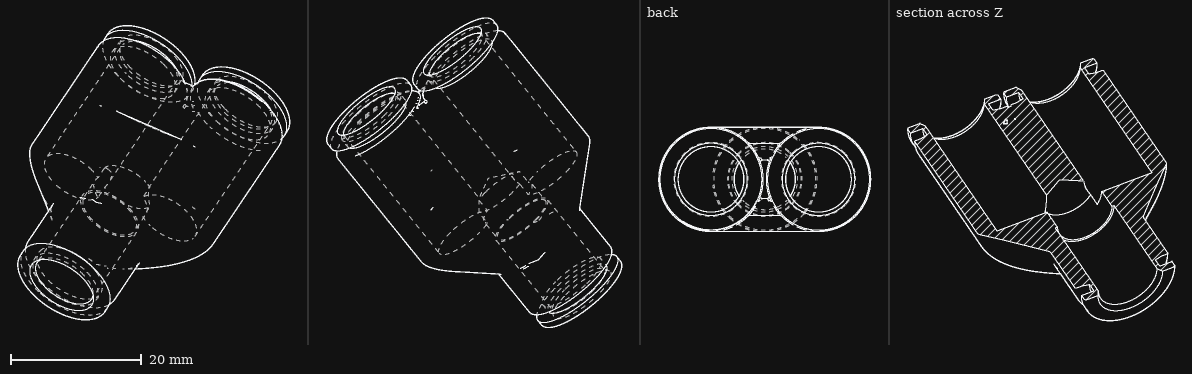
import cadquery as cq
import math

TOTAL_LENGTH = 44.1
BODY_DIAMETER = 16.0
BODY_RADIUS = BODY_DIAMETER / 2
PORT_OFFSET = 8.25
EDGE_ROUND = 0.25
BLEND_RADIUS = 0.5

FLANGE_RADIUS = 7.8
FLANGE_THICKNESS = 1.25
FLANGE_ROUND = 0.35
NECK_RADIUS = 5.7
COLLAR_LENGTH = 2.85
SEAT_RADIUS = 6.85
SEAT_HEIGHT = 0.25
COLLAR_OVERLAP = 0.9

BORE_RADIUS = 5.03
MOUTH_RADIUS = 5.55
MOUTH_DEPTH = 0.9
STOP_RADIUS = 4.67
STOP_Y = 15.45
STOP_HOLE_END_Y = 21.15
DRILL_TIP_ANGLE = 118.0
TWIN_BORE_FLOOR_Y = 18.95

TAPER_ANGLE = 45.0
TAPER_START_Y = 11.38
TAPER_BLEND_TANGENT = BLEND_RADIUS * math.tan(math.radians(TAPER_ANGLE / 2))
SINGLE_TUBE_END_Y = TAPER_START_Y - TAPER_BLEND_TANGENT
TAPER_END_RADIUS = 17.65

WEB_HALF_HEIGHT = 5.5
STEP_TOP_Y = 27.9
STEP_ANGLE = 60.0
WEB_SLOPE_START_Y = 38.4
WEB_SLOPE_ANGLE = 45.0

BODY_END_Y = TOTAL_LENGTH - COLLAR_LENGTH
WEB_END_Y = BODY_END_Y - EDGE_ROUND
SIDES = (-1, 1)


def cylinder(x, radius, y_start, y_end):
    """Cylinder parallel to Y."""
    plane = cq.Workplane("XZ", origin=(x, y_start, 0))
    return plane.circle(radius).extrude(y_start - y_end)


def revolve_about_y(profile):
    """Solid of revolution from (radius, y) corners."""
    return cq.Workplane("XY").polyline(profile).close().revolve(360, (0, 0, 0), (0, 1, 0))


def make_collar():
    """Collar and its conical seat, outer face at Y = 0, axis on the Y axis."""
    buried_end_y = COLLAR_LENGTH + COLLAR_OVERLAP
    collar = revolve_about_y([
        (0, 0),
        (FLANGE_RADIUS, 0),
        (FLANGE_RADIUS, FLANGE_THICKNESS),
        (NECK_RADIUS, FLANGE_THICKNESS),
        (NECK_RADIUS, COLLAR_LENGTH - SEAT_HEIGHT),
        (SEAT_RADIUS, COLLAR_LENGTH),
        (SEAT_RADIUS, buried_end_y),
        (0, buried_end_y),
    ])
    return collar.faces("<Y").edges().fillet(FLANGE_ROUND)


def make_bore_mouth():
    """Conical lead-in at Y = 0."""
    profile = [(0, 0), (MOUTH_RADIUS, 0), (BORE_RADIUS, MOUTH_DEPTH), (0, MOUTH_DEPTH)]
    return revolve_about_y(profile)


def at_twin_port(shape, side):
    """Turn a single-port shape round to face +Y on a twin-port axis."""
    return shape.rotate((0, 0, 0), (0, 0, 1), 180).translate((side * PORT_OFFSET, TOTAL_LENGTH, 0))


def make_core():
    """Block between the twin axes: full height first, then a lower web."""
    step_run = (BODY_RADIUS - WEB_HALF_HEIGHT) / math.tan(math.radians(STEP_ANGLE))
    slope_drop = (WEB_END_Y - WEB_SLOPE_START_Y) * math.tan(math.radians(WEB_SLOPE_ANGLE))
    upper = [
        (SINGLE_TUBE_END_Y, BODY_RADIUS),
        (STEP_TOP_Y, BODY_RADIUS),
        (STEP_TOP_Y + step_run, WEB_HALF_HEIGHT),
        (WEB_SLOPE_START_Y, WEB_HALF_HEIGHT),
        (WEB_END_Y, WEB_HALF_HEIGHT - slope_drop),
    ]
    lower = [(y, -z) for y, z in reversed(upper)]
    core = cq.Workplane("YZ").polyline(upper + lower).close().extrude(PORT_OFFSET, both=True)
    return core.edges("|X").edges("not(<Y or >Y)").fillet(BLEND_RADIUS)


def make_taper():
    """Solid of revolution whose cone trims the wide body."""
    cone_length = (TAPER_END_RADIUS - BODY_RADIUS) / math.tan(math.radians(TAPER_ANGLE))
    blend_rise = TAPER_BLEND_TANGENT * math.sin(math.radians(TAPER_ANGLE))
    blend_run = TAPER_BLEND_TANGENT * math.cos(math.radians(TAPER_ANGLE))
    profile = (
        cq.Workplane("XY")
        .moveTo(0, SINGLE_TUBE_END_Y)
        .lineTo(BODY_RADIUS, SINGLE_TUBE_END_Y)
        .radiusArc((BODY_RADIUS + blend_rise, TAPER_START_Y + blend_run), BLEND_RADIUS)
        .lineTo(TAPER_END_RADIUS, TAPER_START_Y + cone_length)
        .lineTo(TAPER_END_RADIUS, TOTAL_LENGTH)
        .lineTo(0, TOTAL_LENGTH)
        .close()
    )
    return profile.revolve(360, (0, 0, 0), (0, 1, 0))


def blend_web(body):
    """Concave fillets where the web meets the twin tubes, above and below."""
    floor_half_width = PORT_OFFSET - math.sqrt(BODY_RADIUS**2 - WEB_HALF_HEIGHT**2)
    floor_middle_y = (STEP_TOP_Y + WEB_SLOPE_START_Y) / 2
    for side in SIDES:
        for face in SIDES:
            floor_edge = (side * floor_half_width, floor_middle_y, face * WEB_HALF_HEIGHT)
            body = body.edges(cq.NearestToPointSelector(floor_edge)).fillet(BLEND_RADIUS)
    return body


def blend_taper(body):
    """Convex fillets along the curved edges between the cone and the wide body."""
    outer_x = PORT_OFFSET + BODY_RADIUS
    outer_y = TAPER_START_Y + PORT_OFFSET / math.tan(math.radians(TAPER_ANGLE))
    for side in SIDES:
        rim = cq.NearestToPointSelector((side * outer_x, outer_y, 0))
        body = body.edges(rim).fillet(BLEND_RADIUS)
    return body


def make_body():
    """Moulded body without collars or bores."""
    body = make_core()
    for side in SIDES:
        tube = cylinder(side * PORT_OFFSET, BODY_RADIUS, SINGLE_TUBE_END_Y, BODY_END_Y)
        body = body.union(tube.faces(">Y").edges().fillet(EDGE_ROUND))
    body = blend_web(body)
    body = blend_taper(body.intersect(make_taper()))
    single = cylinder(0, BODY_RADIUS, COLLAR_LENGTH, SINGLE_TUBE_END_Y)
    return body.union(single.faces("<Y").edges().fillet(EDGE_ROUND))


def make_single_bore():
    """Stepped bore of the single port, ending in a drill tip that opens into the twin bores."""
    tip_length = STOP_RADIUS / math.tan(math.radians(DRILL_TIP_ANGLE / 2))
    profile = [
        (0, 0),
        (BORE_RADIUS, 0),
        (BORE_RADIUS, STOP_Y),
        (STOP_RADIUS, STOP_Y),
        (STOP_RADIUS, STOP_HOLE_END_Y),
        (0, STOP_HOLE_END_Y + tip_length),
    ]
    bore = revolve_about_y(profile)
    return bore.union(make_bore_mouth())


def make_twin_bore():
    """Flat-bottomed bore placed as for the single port, ready to be turned to a twin port."""
    depth = TOTAL_LENGTH - TWIN_BORE_FLOOR_Y
    return cylinder(0, BORE_RADIUS, 0, depth).union(make_bore_mouth())


collar = make_collar()
twin_bore = make_twin_bore()

result = make_body().union(collar)
for side in SIDES:
    result = result.union(at_twin_port(collar, side))
result = result.cut(make_single_bore())
for side in SIDES:
    result = result.cut(at_twin_port(twin_bore, side))